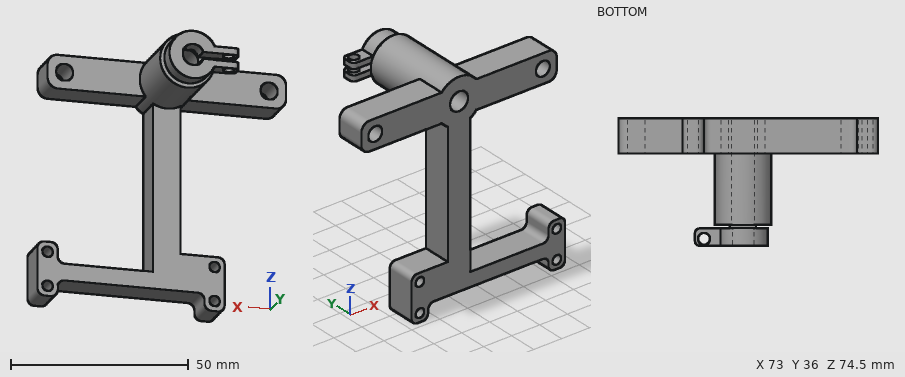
import cadquery as cq


plate_depth = 10.0
arm_half_length = 35.0
arm_height = 10.0
arm_corner_radius = 3.0
arm_hole_x = 30.0
arm_hole_diameter = 5.0
boss_radius = 8.0
boss_length = 30.0
bore_diameter = 6.4

stem_width = 8.05
total_height = 74.5
base_bottom = boss_radius - total_height
base_height = 16.0
base_top = base_bottom + base_height
base_left = -17.0
base_right = 38.0
foot_width = 5.95
foot_drop = 5.0
beam_bottom = base_bottom + foot_drop
beam_height = 5.0
beam_top = beam_bottom + beam_height
base_fillet = 2.0
foot_hole_inset = 3.0
foot_hole_diameter = 3.05

clamp_radius = 7.0
clamp_bore_diameter = 6.2
clamp_width = 5.0
neck_length = 1.0
neck_width = 7.45
ear_reach = 13.55
ear_height = 6.0
ear_corner_radius = 1.5
slot_height = 2.0
ear_hole_diameter = 3.3
ear_hole_x = -10.95
ear_hole_from_back = 2.0
clamp_start = boss_length + neck_length
clamp_end = clamp_start + clamp_width


def front_plane(y):
    """XZ workplane at the given Y; a negative extrusion goes toward +Y."""
    return cq.Workplane("XZ", origin=(0, y, 0))


def cylinder_along_y(diameter, start, end, x=0, z=0):
    return front_plane(start).center(x, z).circle(diameter / 2).extrude(start - end)


def block(x_range, y_range, z_range):
    """Box spanning the given (low, high) ranges."""
    sizes = [high - low for low, high in (x_range, y_range, z_range)]
    corner = (x_range[0], y_range[0], z_range[0])
    return cq.Workplane("XY").box(*sizes, centered=False).translate(corner)


def make_crossbar():
    bar = front_plane(0).rect(2 * arm_half_length, arm_height).extrude(-plate_depth)
    return bar.edges("|Y").fillet(arm_corner_radius)


def make_base():
    """Low beam between two feet; the step at X = 0 lies inside the stem."""
    outline = [
        (base_left, base_bottom),
        (base_left + foot_width, base_bottom),
        (base_left + foot_width, beam_bottom),
        (base_right - foot_width, beam_bottom),
        (base_right - foot_width, base_bottom),
        (base_right, base_bottom),
        (base_right, base_top),
        (base_right - foot_width, base_top),
        (base_right - foot_width, beam_top),
        (0, beam_top),
        (0, base_top),
        (base_left, base_top),
    ]
    base = front_plane(0).polyline(outline).close().extrude(-plate_depth)
    return base.edges("|Y").fillet(base_fillet)


def make_bracket():
    stem = block((-stem_width / 2, stem_width / 2), (0, plate_depth), (beam_top, 0))
    boss = cylinder_along_y(2 * boss_radius, 0, boss_length)
    bracket = make_crossbar().union(make_base()).union(stem).union(boss)

    bracket = bracket.cut(cylinder_along_y(bore_diameter, 0, boss_length))
    for x in (-arm_hole_x, arm_hole_x):
        bracket = bracket.cut(cylinder_along_y(arm_hole_diameter, 0, plate_depth, x))
    for x in (base_left + foot_hole_inset, base_right - foot_hole_inset):
        for z in (base_bottom + foot_hole_inset, base_top - foot_hole_inset):
            bracket = bracket.cut(cylinder_along_y(foot_hole_diameter, 0, plate_depth, x, z))
    return bracket


def make_neck():
    """Upper segment of the collar's disc, carried forward to the boss."""
    disc = cylinder_along_y(2 * clamp_radius, boss_length, clamp_start)
    limits = block(
        (-neck_width / 2, neck_width / 2), (boss_length, clamp_start), (ear_height / 2, clamp_radius)
    )
    return disc.intersect(limits)


def make_clamp():
    collar = cylinder_along_y(2 * clamp_radius, clamp_start, clamp_end)
    ears = block((-ear_reach, 0), (clamp_start, clamp_end), (-ear_height / 2, ear_height / 2))
    ears = ears.edges("|Z and <X").fillet(ear_corner_radius)
    slot = block((-ear_reach, 0), (clamp_start, clamp_end), (-slot_height / 2, slot_height / 2))
    ear_hole = (
        cq.Workplane("XY", origin=(ear_hole_x, clamp_end - ear_hole_from_back, 0))
        .circle(ear_hole_diameter / 2)
        .extrude(ear_height / 2, both=True)
    )
    bore = cylinder_along_y(clamp_bore_diameter, boss_length, clamp_end)
    return collar.union(ears).union(make_neck()).cut(slot).cut(ear_hole).cut(bore)


bracket = make_bracket()
clamp = make_clamp()
result = cq.Compound.makeCompound([bracket.val(), clamp.val()])